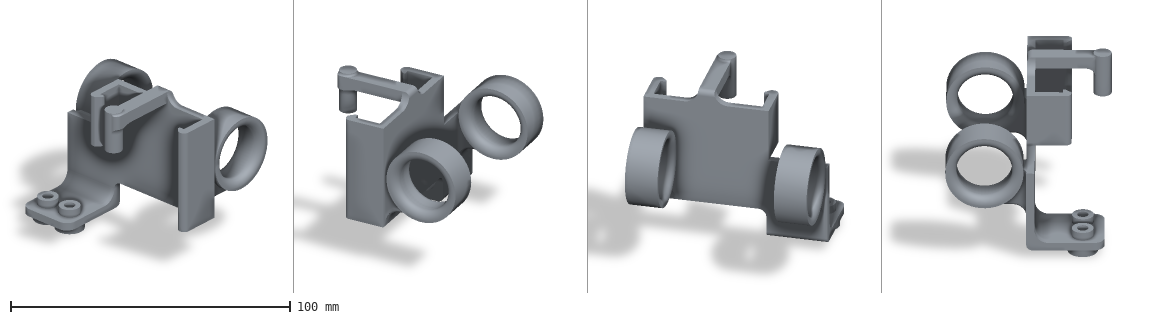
import cadquery as cq
import math

length = 67.95
wall = 3.0
tab_width = 22.55

plate_bottom = 11.0
plate_top = 51.0
step_height = (plate_bottom + plate_top) / 2
step_x = 21.75
corner_radius = 3.0

foot_reach = 28.0
foot_corner_radius = 4.0
bend_inner_radius = 5.0
bend_outer_radius = 2.05

bushing_xs = (6.0, 16.45)
bushing_y = -20.2
bushing_diameter = 7.8
bushing_height = 3.0
washer_diameter = 10.9
washer_height = 3.0
hole_diameter = 4.1

clip_reach = 16.05
hook_overhang = 2.05
hook_chamfer = 2.05
hook_thickness = 3.0
clip_corner_radius = 2.05

arm_width = 6.0
arm_center_x = (step_x + length) / 2
arm_top = 56.0
arm_thickness = 4.5
arm_back_radius = 2.05
arm_tip_radius = 2.0
arm_shoulder_radius = arm_top - plate_top
post_diameter = 6.5
post_offset = 1.0
post_x = arm_center_x - post_offset
post_y = -27.1
post_top = 56.95
post_height = 16.0
arm_reach = 30.05
gusset_radius = 3.0
collar_width = 0.6
collar_radius = 1.0

ring_outer_diameter = 28.0
ring_bore_diameter = 20.0
ring_width = 12.0
ring_center_xs = (6.45, 61.5)
ring_gap = 1.0
ring_y = ring_gap + ring_outer_diameter / 2
ring_z = 30.7
ring_mouth_radius = 3.0

bracket_width = 6.8
bracket_side_radius = 2.0
bracket_bottom_radius = 5.0
bracket_edge_radius = 0.95
bracket_top_rise = 0.4


def plate():
    """Upright plate with shoulders that sweep up into the root of the arm."""
    arm_left = arm_center_x - arm_width / 2
    arm_right = arm_center_x + arm_width / 2
    r = arm_shoulder_radius
    diagonal = r * math.sqrt(0.5)
    outline = (
        cq.Workplane("XZ")
        .moveTo(0, 0)
        .lineTo(tab_width, 0)
        .lineTo(tab_width, plate_bottom - corner_radius)
        .radiusArc((tab_width + corner_radius, plate_bottom), corner_radius)
        .lineTo(length, plate_bottom)
        .lineTo(length, plate_top)
        .lineTo(arm_right + r, plate_top)
        .threePointArc((arm_right + r - diagonal, arm_top - diagonal), (arm_right, arm_top))
        .lineTo(arm_left, arm_top)
        .threePointArc((arm_left - r + diagonal, arm_top - diagonal), (arm_left - r, plate_top))
        .lineTo(step_x, plate_top)
        .lineTo(step_x, step_height)
        .lineTo(0, step_height)
        .close()
    )
    return outline.extrude(wall)


def foot():
    """Horizontal foot, joined to the plate by a rounded inner bend."""
    slab = (
        cq.Workplane("XY")
        .box(tab_width, foot_reach, wall, centered=False)
        .translate((0, -foot_reach, 0))
        .edges("|Z and <Y")
        .fillet(foot_corner_radius)
    )
    bend = (
        cq.Workplane("YZ")
        .moveTo(-wall, wall)
        .lineTo(-wall, wall + bend_inner_radius)
        .radiusArc((-wall - bend_inner_radius, wall), bend_inner_radius)
        .close()
        .extrude(tab_width)
    )
    return slab.union(bend)


def clip(side_x, inward, bottom):
    """Side wall with a hooked end; inward is +1 or -1 along X."""
    hook_x = side_x + inward * (wall + hook_overhang)
    outline = (
        cq.Workplane("XY")
        .workplane(offset=bottom)
        .moveTo(side_x, 0)
        .lineTo(side_x, -clip_reach)
        .lineTo(hook_x - inward * hook_chamfer, -clip_reach)
        .lineTo(hook_x, -clip_reach + hook_chamfer)
        .lineTo(hook_x, -clip_reach + hook_thickness)
        .lineTo(side_x + inward * wall, -clip_reach + hook_thickness)
        .lineTo(side_x + inward * wall, 0)
        .close()
    )
    outer_corner = cq.selectors.NearestToPointSelector((side_x, -clip_reach, (bottom + plate_top) / 2))
    return outline.extrude(plate_top - bottom).edges(outer_corner).fillet(clip_corner_radius)


def arm_block(bottom, top):
    """Full footprint of the arm between two heights."""
    return (
        cq.Workplane("XY")
        .box(arm_width, arm_reach, top - bottom, centered=False)
        .translate((arm_center_x - arm_width / 2, -arm_reach, bottom))
        .edges("|Z and <Y")
        .fillet(arm_tip_radius)
    )


def arm_and_post():
    """Arm with a round post; concave collars blend the post into the arm above and below."""
    arm_bottom = arm_top - arm_thickness
    post_radius = post_diameter / 2
    post = (
        cq.Workplane("XY")
        .workplane(offset=post_top - post_height)
        .center(post_x, post_y)
        .circle(post_radius)
        .extrude(post_height)
    )
    collars = (
        cq.Workplane("XZ")
        .moveTo(0, arm_bottom - gusset_radius)
        .lineTo(post_radius, arm_bottom - gusset_radius)
        .radiusArc((post_radius + gusset_radius, arm_bottom), gusset_radius)
        .lineTo(post_radius + collar_width, arm_top)
        .radiusArc((post_radius, post_top), collar_radius)
        .lineTo(0, post_top)
        .close()
        .revolve(360, (0, 0, 0), (0, 1, 0))
        .translate((post_x, post_y, 0))
        .intersect(arm_block(arm_bottom - gusset_radius, post_top))
    )
    return arm_block(arm_bottom, arm_top).union(post).union(collars)


def arm_back_corner():
    """Waste outside the rounded back edge at the root of the arm."""
    return (
        cq.Workplane("YZ")
        .workplane(offset=arm_center_x - arm_width)
        .moveTo(0, arm_top)
        .lineTo(-arm_back_radius, arm_top)
        .radiusArc((0, arm_top - arm_back_radius), arm_back_radius)
        .close()
        .extrude(2 * arm_width)
    )


def ring(center_x):
    """Ring with its axis along X and a bore that flares out at both ends."""
    ring_blank = (
        cq.Workplane("YZ")
        .workplane(offset=center_x - ring_width / 2)
        .center(ring_y, ring_z)
        .circle(ring_outer_diameter / 2)
        .circle(ring_bore_diameter / 2)
        .extrude(ring_width)
    )
    bore_edges = cq.selectors.RadiusNthSelector(0)
    return ring_blank.edges(bore_edges).fillet(ring_mouth_radius)


def bracket_side_profile(left_x, width, lift):
    """Side profile of a bracket extruded along X, its lower edge raised by lift."""
    ring_bottom = ring_z - ring_outer_diameter / 2 + lift
    root = ring_bottom - bracket_bottom_radius
    top = step_height + bracket_top_rise
    return (
        cq.Workplane("YZ")
        .workplane(offset=left_x)
        .moveTo(-wall / 2, plate_bottom)
        .lineTo(0, plate_bottom)
        .lineTo(0, root)
        .radiusArc((bracket_bottom_radius, ring_bottom), bracket_bottom_radius)
        .lineTo(ring_y, ring_bottom)
        .lineTo(ring_y, top)
        .lineTo(ring_gap, top)
        .lineTo(0, step_height)
        .lineTo(-wall / 2, step_height)
        .close()
        .extrude(width)
    )


def bracket(center_x):
    """Web from the plate to the ring: flared at the plate, tangent to the bottom of the ring."""
    half = bracket_width / 2
    flare = half + bracket_side_radius
    ring_bottom = ring_z - ring_outer_diameter / 2
    web = bracket_side_profile(center_x - half, bracket_width, 0)
    lower_edge_y = (bracket_bottom_radius + ring_y) / 2
    for side_x in (center_x - half, center_x + half):
        lower_edge = cq.selectors.NearestToPointSelector((side_x, lower_edge_y, ring_bottom))
        web = web.edges(lower_edge).fillet(bracket_edge_radius)
    flared_section = (
        cq.Workplane("XY")
        .center(center_x, 0)
        .moveTo(-flare, 0)
        .radiusArc((-half, bracket_side_radius), -bracket_side_radius)
        .lineTo(half, bracket_side_radius)
        .radiusArc((flare, 0), -bracket_side_radius)
        .close()
        .extrude(plate_top)
    )
    flare_profile = bracket_side_profile(center_x - flare, 2 * flare, bracket_edge_radius)
    web_column = (
        cq.Workplane("XY")
        .box(bracket_width, length, plate_top, centered=(True, True, False))
        .translate((center_x, 0, 0))
    )
    root_flares = flared_section.intersect(flare_profile).cut(web_column)
    ring_opening = (
        cq.Workplane("YZ")
        .workplane(offset=center_x - flare)
        .center(ring_y, ring_z)
        .circle((ring_outer_diameter + ring_bore_diameter) / 4)
        .extrude(2 * flare)
    )
    return web.union(root_flares).cut(ring_opening)


def foot_cylinder(x, diameter, bottom, height):
    """Upright cylinder at one bushing position."""
    return (
        cq.Workplane("XY")
        .workplane(offset=bottom)
        .center(x, bushing_y)
        .circle(diameter / 2)
        .extrude(height)
    )


result = plate().union(foot()).edges("|X and >Y and <Z").fillet(bend_outer_radius)
result = result.union(clip(step_x, 1, step_height)).union(clip(length, -1, plate_bottom))
result = result.union(arm_and_post())
result = result.cut(arm_back_corner())

for ring_x in ring_center_xs:
    result = result.union(bracket(ring_x)).union(ring(ring_x))

for bushing_x in bushing_xs:
    result = result.union(foot_cylinder(bushing_x, bushing_diameter, wall, bushing_height))
    result = result.union(foot_cylinder(bushing_x, washer_diameter, -washer_height, washer_height))

hole_length = washer_height + wall + bushing_height
for bushing_x in bushing_xs:
    result = result.cut(foot_cylinder(bushing_x, hole_diameter, -washer_height, hole_length))